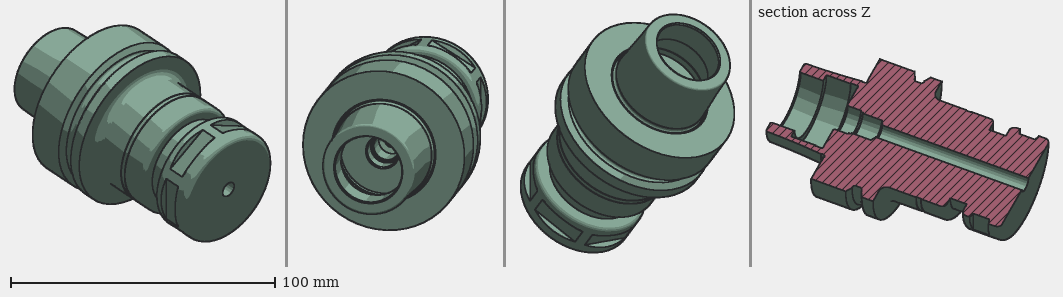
import cadquery as cq
import math


total_length = 100.0
flange_start = 25.1
flange_end = 51.0
body_end = 77.0
nut_start = 83.7

shank_tip_radius = 17.9
shank_middle_x = 12.5
shank_middle_radius = 18.3
shank_root_x = 23.0
shank_root_radius = 19.1
shank_tip_fillet = 1.0
shank_lip_end = 23.5

relief_start = 23.8
relief_end = 24.4
relief_radius = 37.9 / 2
relief_depth_x = flange_start + 0.3
relief_depth_radius = 19.7
relief_rim_radius = 20.3

flange_radius = 63.0 / 2
groove_radius = 55.0 / 2
groove_slope = math.tan(math.radians(60))
groove_start = 39.6
groove_end = 46.3
groove_chamfer = 1.5
groove_fillet = 1.0

body_radius = 46.0 / 2
body_root_fillet = 3.0
body_end_fillet = 2.0
band_start = 65.0
band_end = 67.0
band_radius = 45.6 / 2

neck_radius = 36.0 / 2
nut_radius = 46.3 / 2
nut_fillet = 2.2

flat_count = 6
flat_distance = 21.0
flat_start = 88.0
flat_end = 94.5
flat_wall_slope = 0.3
flat_tool_height = 4.0

shank_bore_radius = 26.0 / 2
shank_bore_chamfer_length = 0.7
shank_bore_chamfer = 0.4
recess_start = 10.0
recess_radius = 32.0 / 2
undercut_start = 20.0
undercut_radius = 32.5 / 2
recess_end = 23.0
socket_radius = 12.0 / 2
socket_depth = 6.0
socket_chamfer = 0.5
ledge_radius = 11.0 / 2
ledge_depth = 1.0
drill_radius = 10.1 / 2
drill_depth = 8.0
drill_tip_half_angle = 60
through_radius = 6.0 / 2


def make_body():
    """Revolve the outer profile, drawn as (x, radius), about the X axis."""
    left_wall_x = groove_start + groove_chamfer
    right_wall_x = groove_end - groove_chamfer
    wall_radius = flange_radius - groove_chamfer * groove_slope
    profile = (
        cq.Workplane("XY")
        .moveTo(0, 0)
        .lineTo(0, shank_tip_radius - shank_tip_fillet)
        .radiusArc((shank_tip_fillet, shank_tip_radius), shank_tip_fillet)
        .threePointArc((shank_middle_x, shank_middle_radius), (shank_root_x, shank_root_radius))
        .lineTo(shank_lip_end, shank_root_radius)
        .lineTo(relief_start, relief_radius)
        .lineTo(relief_end, relief_radius)
        .tangentArcPoint((relief_depth_x, relief_depth_radius), relative=False)
        .lineTo(flange_start, relief_rim_radius)
        .lineTo(flange_start, flange_radius)
        .lineTo(groove_start, flange_radius)
        .lineTo(left_wall_x, wall_radius)
        .lineTo(left_wall_x, groove_radius + groove_fillet)
        .radiusArc((left_wall_x + groove_fillet, groove_radius), -groove_fillet)
        .lineTo(right_wall_x - groove_fillet, groove_radius)
        .radiusArc((right_wall_x, groove_radius + groove_fillet), -groove_fillet)
        .lineTo(right_wall_x, wall_radius)
        .lineTo(groove_end, flange_radius)
        .lineTo(flange_end, flange_radius)
        .lineTo(flange_end, body_radius + body_root_fillet)
        .radiusArc((flange_end + body_root_fillet, body_radius), -body_root_fillet)
        .lineTo(band_start, body_radius)
        .lineTo(band_start, band_radius)
        .lineTo(band_end, band_radius)
        .lineTo(band_end, body_radius)
        .lineTo(body_end - body_end_fillet, body_radius)
        .radiusArc((body_end, body_radius - body_end_fillet), body_end_fillet)
        .lineTo(body_end, neck_radius)
        .lineTo(nut_start, neck_radius)
        .lineTo(nut_start, nut_radius - nut_fillet)
        .radiusArc((nut_start + nut_fillet, nut_radius), nut_fillet)
        .lineTo(total_length - nut_fillet, nut_radius)
        .radiusArc((total_length, nut_radius - nut_fillet), nut_fillet)
        .lineTo(total_length, 0)
        .close()
    )
    return profile.revolve(360, (0, 0, 0), (1, 0, 0))


def make_bore():
    """Revolve the stepped bore, which ends in a drill cone and a through hole."""
    socket_end = recess_end + socket_depth
    ledge_end = socket_end + ledge_depth
    drill_end = ledge_end + drill_depth
    cone_end = drill_end + (drill_radius - through_radius) / math.tan(math.radians(drill_tip_half_angle))
    profile = (
        cq.Workplane("XY")
        .moveTo(0, 0)
        .lineTo(0, shank_bore_radius + shank_bore_chamfer)
        .lineTo(shank_bore_chamfer_length, shank_bore_radius)
        .lineTo(recess_start, shank_bore_radius)
        .lineTo(recess_start, recess_radius)
        .lineTo(undercut_start, recess_radius)
        .lineTo(undercut_start, undercut_radius)
        .lineTo(recess_end, undercut_radius)
        .lineTo(recess_end, socket_radius + socket_chamfer)
        .lineTo(recess_end + socket_chamfer, socket_radius)
        .lineTo(socket_end, socket_radius)
        .lineTo(socket_end, ledge_radius)
        .lineTo(ledge_end, ledge_radius)
        .lineTo(ledge_end, drill_radius)
        .lineTo(drill_end, drill_radius)
        .lineTo(cone_end, through_radius)
        .lineTo(total_length, through_radius)
        .lineTo(total_length, 0)
        .close()
    )
    return profile.revolve(360, (0, 0, 0), (1, 0, 0))


def make_flat_cutters():
    """Trapezoid bars that cut the wrench flats, leaning outward at both end walls."""
    lean = flat_wall_slope * flat_tool_height
    bar_top = flat_distance + flat_tool_height
    bar = (
        cq.Workplane("XY")
        .moveTo(flat_start, flat_distance)
        .lineTo(flat_end, flat_distance)
        .lineTo(flat_end + lean, bar_top)
        .lineTo(flat_start - lean, bar_top)
        .close()
        .extrude(nut_radius, both=True)
    )
    return [bar.rotate((0, 0, 0), (1, 0, 0), i * 360 / flat_count) for i in range(flat_count)]


result = make_body().cut(make_bore())
for cutter in make_flat_cutters():
    result = result.cut(cutter)